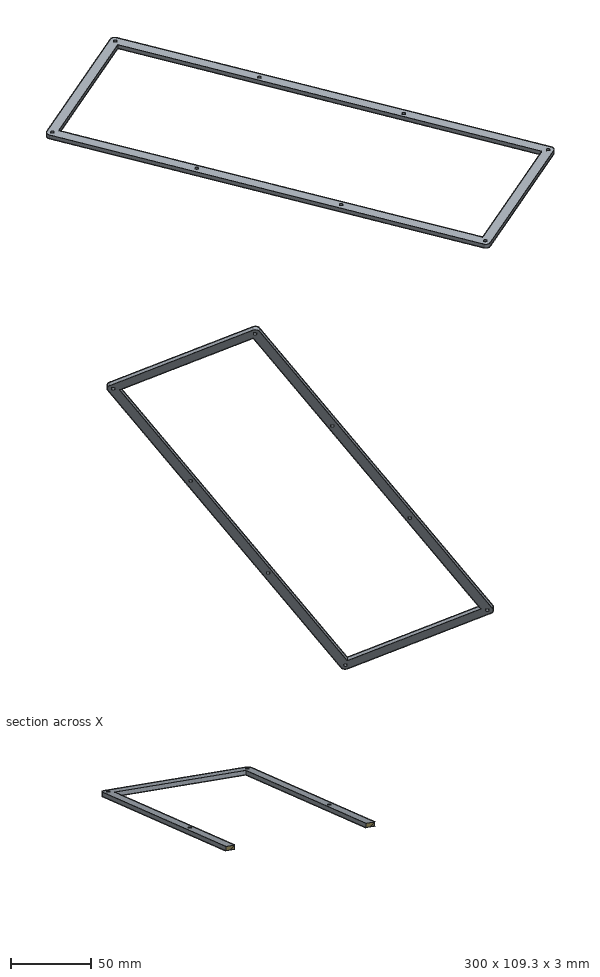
import cadquery as cq

length = 300.0
width = 109.3
thickness = 3.0
corner_radius = 3.0

border = 6.5
window_length = length - 2 * border
window_width = width - 2 * border

hole_diameter = 2.2
hole_inset = 3.5
holes_per_row = 4
hole_pitch = (length - 2 * hole_inset) / (holes_per_row - 1)
row_spacing = width - 2 * hole_inset

frame = (
    cq.Workplane("XY")
    .rect(length, width)
    .extrude(thickness)
    .edges("|Z")
    .fillet(corner_radius)
)

window = cq.Workplane("XY").rect(window_length, window_width).extrude(thickness)

holes = (
    cq.Workplane("XY")
    .rarray(hole_pitch, row_spacing, holes_per_row, 2)
    .circle(hole_diameter / 2)
    .extrude(thickness)
)

result = frame.cut(window).cut(holes)